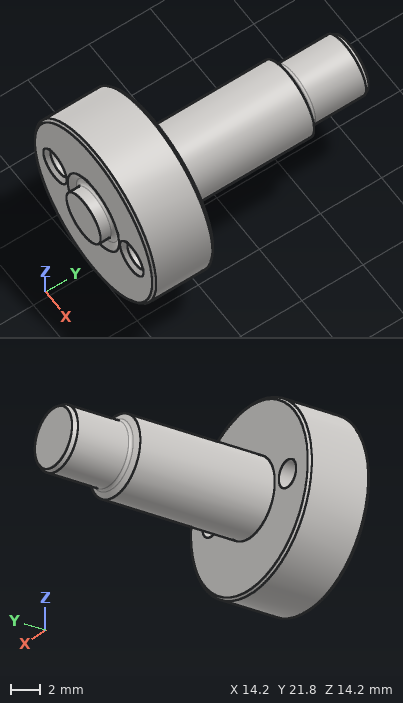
import cadquery as cq
import math

total_length = 21.8
front_end = -total_length / 2
back_end = total_length / 2

pilot_radius = 2.0
pilot_projection = 0.8

flange_diameter = 14.2
flange_radius = flange_diameter / 2
flange_thickness = 5.0
flange_chamfer = 0.2

shaft_radius = 3.0
neck_radius = 2.4
neck_length = 4.5
neck_chamfer_length = 0.35
neck_chamfer_inset = 0.2

relief_radius = 0.3
cone_angle = math.radians(60)
recess_radius = shaft_radius

pin_hole_spacing = 9.0
pin_hole_diameter = 2.05
pin_countersink_diameter = 2.75
countersink_angle = 90

flange_front = front_end + pilot_projection
flange_back = flange_front + flange_thickness
neck_start = back_end - neck_length


def blend_point(root_radius, tangent_y, direction, swept_angle):
    """Point on a blend arc that leaves a cylinder at tangent_y, heading along Y in direction."""
    return (
        root_radius + relief_radius * (1 - math.cos(swept_angle)),
        tangent_y + direction * relief_radius * math.sin(swept_angle),
    )


def make_turned_body():
    """Revolve the half profile (radius, y) about the Y axis."""
    shoulder_mid = blend_point(neck_radius, neck_start, -1, cone_angle / 2)
    shoulder_inner = blend_point(neck_radius, neck_start, -1, cone_angle)
    shoulder_start = shoulder_inner[1] - (shaft_radius - shoulder_inner[0]) / math.tan(cone_angle)

    recess_sweep = math.pi - cone_angle
    recess_cone_inner = pilot_radius + relief_radius * (1 - math.cos(recess_sweep))
    recess_cone_depth = (recess_radius - recess_cone_inner) / math.tan(cone_angle)
    pilot_root = flange_front + recess_cone_depth - relief_radius * math.sin(recess_sweep)
    recess_mid = blend_point(pilot_radius, pilot_root, 1, recess_sweep / 2)
    recess_end = blend_point(pilot_radius, pilot_root, 1, recess_sweep)

    return (
        cq.Workplane("XY")
        .moveTo(0, front_end)
        .lineTo(pilot_radius, front_end)
        .lineTo(pilot_radius, pilot_root)
        .threePointArc(recess_mid, recess_end)
        .lineTo(recess_radius, flange_front)
        .lineTo(flange_radius - flange_chamfer, flange_front)
        .lineTo(flange_radius, flange_front + flange_chamfer)
        .lineTo(flange_radius, flange_back - flange_chamfer)
        .lineTo(flange_radius - flange_chamfer, flange_back)
        .lineTo(shaft_radius, flange_back)
        .lineTo(shaft_radius, shoulder_start)
        .lineTo(*shoulder_inner)
        .threePointArc(shoulder_mid, (neck_radius, neck_start))
        .lineTo(neck_radius, back_end - neck_chamfer_length)
        .lineTo(neck_radius - neck_chamfer_inset, back_end)
        .lineTo(0, back_end)
        .close()
        .revolve(360, (0, 0, 0), (0, 1, 0))
    )


def drill_pin_holes(body):
    """Drill two countersunk holes through the flange, either side of the pilot."""
    return (
        body.copyWorkplane(cq.Workplane("XZ", origin=(0, flange_front, 0)))
        .pushPoints([(-pin_hole_spacing / 2, 0), (pin_hole_spacing / 2, 0)])
        .cskHole(pin_hole_diameter, pin_countersink_diameter, countersink_angle, flange_thickness)
    )


result = drill_pin_holes(make_turned_body())